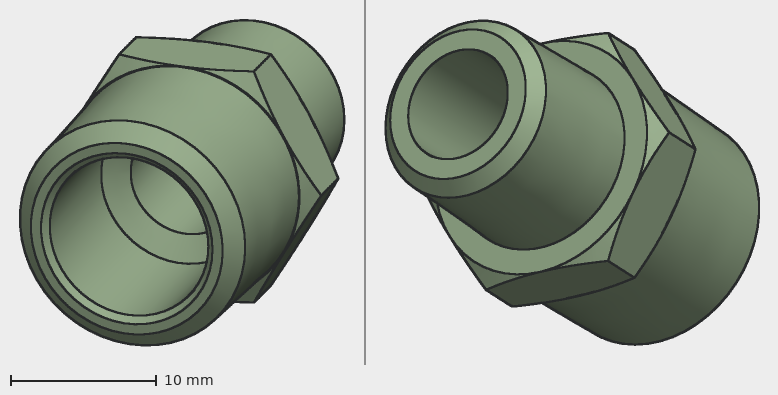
import cadquery as cq
import math

total_length = 27.5
hex_across_flats = 17.0
hex_length = 5.0
large_length = 11.5
hex_across_corners = hex_across_flats / math.cos(math.radians(30))
hex_end = large_length + hex_length

large_root_diameter = 16.9
large_tip_diameter = 16.42
large_face_diameter = 13.97
large_chamfer_length = 1.18
small_root_diameter = 13.4
small_tip_diameter = 12.9
small_face_diameter = 10.9
small_chamfer_length = 1.02

corner_chamfer_angle = 30.0
chamfer_start_diameter = 17.0

socket_mouth_diameter = 12.48
socket_diameter = 11.55
socket_depth = 11.0
bore_diameter = 8.0
drill_point_half_angle = 59.0


def revolve_about_y(points):
    """Revolve a closed (radius, y) outline about the Y axis."""
    return cq.Workplane("XY").polyline(points).close().revolve(360, (0, 0, 0), (0, 1, 0))


def make_ends():
    return revolve_about_y([
        (0, 0),
        (large_face_diameter / 2, 0),
        (large_tip_diameter / 2, large_chamfer_length),
        (large_root_diameter / 2, large_length),
        (small_root_diameter / 2, hex_end),
        (small_tip_diameter / 2, total_length - small_chamfer_length),
        (small_face_diameter / 2, total_length),
        (0, total_length),
    ])


def make_hexagon():
    prism = (
        cq.Workplane("XZ", origin=(0, hex_end, 0))
        .polygon(6, hex_across_corners)
        .extrude(hex_length)
    )
    inner_radius = chamfer_start_diameter / 2
    outer_radius = hex_across_corners / 2
    drop = (outer_radius - inner_radius) * math.tan(math.radians(corner_chamfer_angle))
    chamfer_envelope = revolve_about_y([
        (0, large_length),
        (inner_radius, large_length),
        (outer_radius, large_length + drop),
        (outer_radius, hex_end - drop),
        (inner_radius, hex_end),
        (0, hex_end),
    ])
    return prism.intersect(chamfer_envelope)


def make_passage():
    socket_radius = socket_diameter / 2
    mouth_radius = socket_mouth_diameter / 2
    mouth_chamfer = mouth_radius - socket_radius
    bore_radius = bore_diameter / 2
    cone_length = (socket_radius - bore_radius) / math.tan(math.radians(drill_point_half_angle))
    return revolve_about_y([
        (0, 0),
        (mouth_radius, 0),
        (socket_radius, mouth_chamfer),
        (socket_radius, socket_depth),
        (bore_radius, socket_depth + cone_length),
        (bore_radius, total_length),
        (0, total_length),
    ])


result = make_ends().union(make_hexagon()).cut(make_passage())